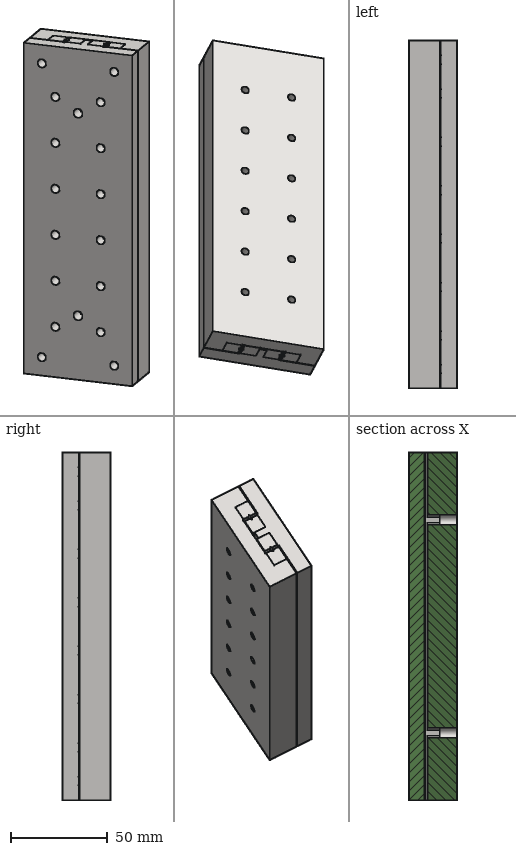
import cadquery as cq

LENGTH = 180.0
WIDTH = 60.0
DEPTH = 25.0

PLATE_THICKNESS = 8.5
RAIL_SEAT = 9.0
RAIL_HEIGHT = 7.5
RELIEF_DEPTH = 0.4
RIB_TOP = 15.5

SEAT_PAD_HALF_WIDTH = 10.8

RAIL_WIDTH = 8.3
RAIL_PAIR_INNER = 2.0
RAIL_PAIR_OUTER = 20.0
GROOVE_DEPTH = 0.7

CORNER_HOLE_DIAMETER = 4.5
CORNER_HOLE_X = RAIL_PAIR_OUTER
CORNER_HOLE_Z = 80.0
ACCESS_HOLE_DIAMETER = 4.5
RAIL_BOLT_DIAMETER = 4.0
ROW_PITCH = 25.0
ROW_X = ROW_PITCH / 2
ROW_COUNT = 6
CENTER_HOLE_DIAMETER = 4.9
CENTER_HOLE_Z = 55.0

FRONT = -DEPTH / 2
BACK = DEPTH / 2
PLATE_FACE = FRONT + PLATE_THICKNESS
SEAT = FRONT + RAIL_SEAT
CHANNEL_FLOOR = SEAT + RAIL_HEIGHT
RELIEF_FLOOR = CHANNEL_FLOOR + RELIEF_DEPTH
RIB_FACE = FRONT + RIB_TOP
INNER_RAIL_EDGE = RAIL_PAIR_INNER + RAIL_WIDTH
OUTER_RAIL_EDGE = RAIL_PAIR_OUTER - RAIL_WIDTH

ROW_POINTS = [
    (side * ROW_X, (row - (ROW_COUNT - 1) / 2) * ROW_PITCH)
    for side in (-1, 1)
    for row in range(ROW_COUNT)
]
CORNER_POINTS = [
    (x, z)
    for x in (-CORNER_HOLE_X, CORNER_HOLE_X)
    for z in (-CORNER_HOLE_Z, CORNER_HOLE_Z)
]
CENTER_POINTS = [(0, -CENTER_HOLE_Z), (0, CENTER_HOLE_Z)]


def bar(half_width, y_start, y_end):
    """Full-length rectangular bar centred on X and Z."""
    return (
        cq.Workplane("XY")
        .box(2 * half_width, y_end - y_start, LENGTH, centered=(True, False, True))
        .translate((0, y_start, 0))
    )


def drills(points, diameter):
    """Cylinders along Y through the whole depth at the given (x, z) points."""
    return (
        cq.Workplane("XZ", origin=(0, BACK, 0))
        .pushPoints(points)
        .circle(diameter / 2)
        .extrude(DEPTH)
    )


def make_housing():
    """Back block with the rail channel, a relieved floor and the rail bolt holes."""
    block = bar(WIDTH / 2, SEAT, BACK)
    channel = bar(RAIL_PAIR_OUTER, SEAT, CHANNEL_FLOOR)
    floor_relief = bar(OUTER_RAIL_EDGE, CHANNEL_FLOOR, RELIEF_FLOOR)
    return block.cut(channel).cut(floor_relief).cut(drills(ROW_POINTS, RAIL_BOLT_DIAMETER))


def make_plate():
    """Front plate with a raised rail seat, a central rib and its through holes."""
    plate = bar(WIDTH / 2, FRONT, PLATE_FACE)
    seat_pad = bar(SEAT_PAD_HALF_WIDTH, PLATE_FACE, SEAT)
    rib = bar(RAIL_PAIR_INNER, SEAT, RIB_FACE)
    return (
        plate.union(seat_pad)
        .union(rib)
        .cut(drills(CORNER_POINTS, CORNER_HOLE_DIAMETER))
        .cut(drills(ROW_POINTS, ACCESS_HOLE_DIAMETER))
        .cut(drills(CENTER_POINTS, CENTER_HOLE_DIAMETER))
    )


def make_rail(back_x, running_x):
    """Rail from its mounting side to its running side, which carries a V-groove."""
    mid_y = SEAT + RAIL_HEIGHT / 2
    inward = 1 if back_x > running_x else -1
    return (
        cq.Workplane("XY", origin=(0, 0, -LENGTH / 2))
        .moveTo(back_x, SEAT)
        .lineTo(running_x, SEAT)
        .lineTo(running_x, mid_y - GROOVE_DEPTH)
        .lineTo(running_x + inward * GROOVE_DEPTH, mid_y)
        .lineTo(running_x, mid_y + GROOVE_DEPTH)
        .lineTo(running_x, CHANNEL_FLOOR)
        .lineTo(back_x, CHANNEL_FLOOR)
        .close()
        .extrude(LENGTH)
    )


housing = make_housing()
plate = make_plate()
rails = []
for side in (-1, 1):
    inner_rail = make_rail(side * RAIL_PAIR_INNER, side * INNER_RAIL_EDGE)
    outer_rail = make_rail(side * RAIL_PAIR_OUTER, side * OUTER_RAIL_EDGE)
    rails.append(inner_rail.val())
    rails.append(outer_rail.val())

result = cq.Compound.makeCompound([housing.val(), plate.val(), *rails])